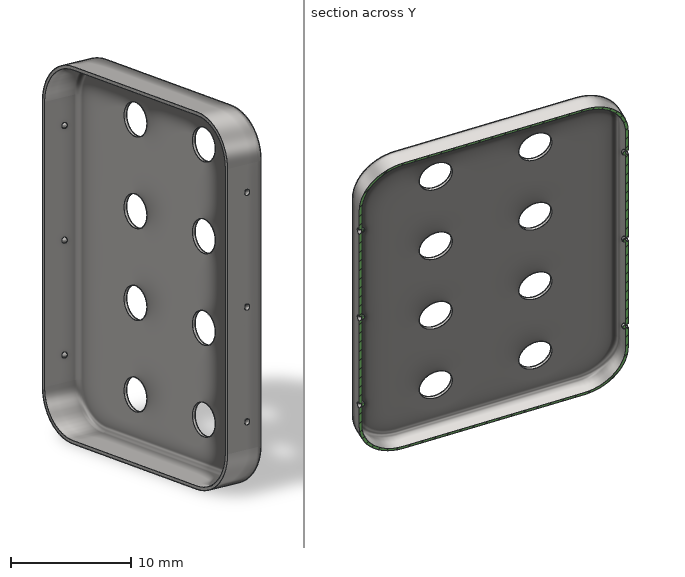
import cadquery as cq

width = 24.4
depth = 4.0
height = 32.9
wall = 0.3
corner_radius = 4.0
floor_edge_radius = 0.8

hole_diameter = 3.0
hole_columns = 2
hole_rows = 4
hole_pitch_x = 9.0
hole_pitch_z = 8.0

dimple_count = 3
dimple_pitch = 10.0
dimple_from_rim = 2.1
dimple_radius = 0.25


def rounded_block(inset, length):
    """Block from the rim plane toward +Y, its far edge rounded concentrically with the shell."""
    return (
        cq.Workplane("XZ")
        .rect(width - 2 * inset, height - 2 * inset)
        .extrude(-length)
        .edges("|Y")
        .fillet(corner_radius - inset)
        .faces(">Y")
        .edges()
        .fillet(floor_edge_radius - inset)
    )


def dimple_ball(x, z):
    """Ball at dimple depth, its poles along X."""
    return cq.Workplane("YZ").sphere(dimple_radius).translate((x, dimple_from_rim, z))


tray = rounded_block(0, depth).cut(rounded_block(wall, depth - wall))

floor_holes = (
    cq.Workplane("XZ")
    .rarray(hole_pitch_x, hole_pitch_z, hole_columns, hole_rows)
    .circle(hole_diameter / 2)
    .extrude(-depth)
)
tray = tray.cut(floor_holes)

inner_face_x = width / 2 - wall
for side in (-1, 1):
    for index in range(dimple_count):
        z = (index - (dimple_count - 1) / 2) * dimple_pitch
        tray = tray.union(dimple_ball(side * inner_face_x, z))
        tray = tray.cut(dimple_ball(side * width / 2, z))

result = tray